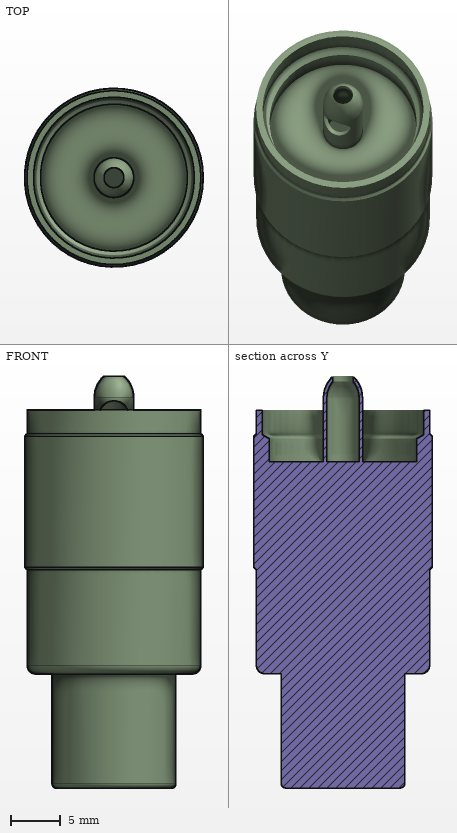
import cadquery as cq
import math

TOTAL_HEIGHT = 41.5
STEM_HEIGHT = 11.5
SLEEVE_BOTTOM = 22.0
SLEEVE_TOP = 35.7
RIM_HEIGHT = 38.1

STEM_RADIUS = 6.25
BODY_RADIUS = 8.75
SLEEVE_RADIUS = 9.0
SLEEVE_CHAMFER = SLEEVE_RADIUS - BODY_RADIUS
STEM_FILLET = 0.5
BODY_FILLET = 0.9

MOUTH_RADIUS = 8.1
SOCKET_RADIUS = 7.4
MOUTH_DEPTH = 2.5
SEAT_DROP = 0.4
SOCKET_DEPTH = 5.2
SOCKET_FLOOR = RIM_HEIGHT - SOCKET_DEPTH

PIN_RADIUS = 2.0
TIP_RADIUS = 1.0
PIN_WALL = 0.4
DOME_HEIGHT = 2.15
SIDE_HOLE_RADIUS = 1.5
SIDE_HOLE_HEIGHT = 37.5


def make_body():
    """Revolve the stepped outer profile, with rounded lower corners and a chamfered sleeve."""
    round_offset = math.sqrt(0.5)
    stem_mid = STEM_FILLET * (1 - round_offset)
    body_mid = BODY_FILLET * (1 - round_offset)
    profile = (
        cq.Workplane("XZ")
        .moveTo(0, 0)
        .lineTo(STEM_RADIUS - STEM_FILLET, 0)
        .threePointArc((STEM_RADIUS - stem_mid, stem_mid), (STEM_RADIUS, STEM_FILLET))
        .lineTo(STEM_RADIUS, STEM_HEIGHT)
        .lineTo(BODY_RADIUS - BODY_FILLET, STEM_HEIGHT)
        .threePointArc(
            (BODY_RADIUS - body_mid, STEM_HEIGHT + body_mid),
            (BODY_RADIUS, STEM_HEIGHT + BODY_FILLET),
        )
        .lineTo(BODY_RADIUS, SLEEVE_BOTTOM)
        .lineTo(SLEEVE_RADIUS, SLEEVE_BOTTOM + SLEEVE_CHAMFER)
        .lineTo(SLEEVE_RADIUS, SLEEVE_TOP - SLEEVE_CHAMFER)
        .lineTo(BODY_RADIUS, SLEEVE_TOP)
        .lineTo(BODY_RADIUS, RIM_HEIGHT)
        .lineTo(0, RIM_HEIGHT)
        .close()
    )
    return profile.revolve(360, (0, 0, 0), (0, 1, 0))


def make_socket():
    """Socket void: a wide mouth, a conical seat and a narrower bore down to a flat floor."""
    seat_top = RIM_HEIGHT - MOUTH_DEPTH
    profile = (
        cq.Workplane("XZ")
        .moveTo(0, SOCKET_FLOOR)
        .lineTo(SOCKET_RADIUS, SOCKET_FLOOR)
        .lineTo(SOCKET_RADIUS, seat_top - SEAT_DROP)
        .lineTo(MOUTH_RADIUS, seat_top)
        .lineTo(MOUTH_RADIUS, RIM_HEIGHT)
        .lineTo(0, RIM_HEIGHT)
        .close()
    )
    return profile.revolve(360, (0, 0, 0), (0, 1, 0))


def domed_post(radius, dome_radius, bottom, top):
    """Solid of revolution: a straight post whose wall runs tangentially into a dome of the
    given arc radius, cut flat at the top with the radius of the tip opening."""
    arc_center = radius - dome_radius
    end_angle = math.acos((TIP_RADIUS - arc_center) / dome_radius)
    dome_start = top - dome_radius * math.sin(end_angle)
    dome_middle = (
        arc_center + dome_radius * math.cos(end_angle / 2),
        dome_start + dome_radius * math.sin(end_angle / 2),
    )
    profile = (
        cq.Workplane("XZ")
        .moveTo(0, bottom)
        .lineTo(radius, bottom)
        .lineTo(radius, dome_start)
        .threePointArc(dome_middle, (TIP_RADIUS, top))
        .lineTo(0, top)
        .close()
    )
    return profile.revolve(360, (0, 0, 0), (0, 1, 0))


def make_pin():
    """Hollow domed pin of even wall, open at the tip, with a radial hole through its -Y wall."""
    dome_inset = PIN_RADIUS - TIP_RADIUS
    outer_dome = (dome_inset**2 + DOME_HEIGHT**2) / (2 * dome_inset)
    inner_dome = outer_dome - PIN_WALL
    center_to_tip = TIP_RADIUS - (PIN_RADIUS - outer_dome)
    dome_start = TOTAL_HEIGHT - DOME_HEIGHT
    cavity_top = dome_start + math.sqrt(inner_dome**2 - center_to_tip**2)

    outside = domed_post(PIN_RADIUS, outer_dome, SOCKET_FLOOR, TOTAL_HEIGHT)
    cavity = domed_post(PIN_RADIUS - PIN_WALL, inner_dome, SOCKET_FLOOR, cavity_top)
    tip_opening = (
        cq.Workplane("XY", origin=(0, 0, SOCKET_FLOOR))
        .circle(TIP_RADIUS)
        .extrude(TOTAL_HEIGHT - SOCKET_FLOOR)
    )
    side_hole = (
        cq.Workplane("XZ", origin=(0, 0, SIDE_HOLE_HEIGHT))
        .circle(SIDE_HOLE_RADIUS)
        .extrude(PIN_RADIUS)
    )
    return outside.cut(cavity).cut(tip_opening).cut(side_hole)


result = make_body().cut(make_socket()).union(make_pin())